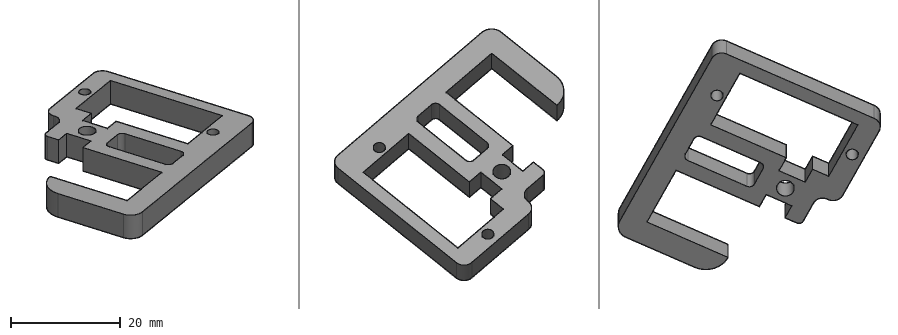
import cadquery as cq

width = 34.0
height = 42.25
thickness = 5.0

neck_left = 4.05
shoulder_y = 23.4
crossbar_bottom = 16.5
hook_left = 12.95
hook_top = 4.55
spine_left = 29.5
corner_radius = 2.0
bottom_corner_radius = 2.5
shoulder_blend_radius = 1.8
neck_corner_radius = 0.9

window_right = 28.05
window_bottom = 27.8
window_top = 39.7
notch_left = 7.35
upper_notch_right = 12.68
lower_notch_right = 12.55
bridge_bottom = 19.3
bridge_top = 24.8

slot_left = 15.45
slot_corner_radius = 1.0

screw_diameter = 2.2
screw_centers = [(2.25, 33.75), (29.75, 33.75)]
pivot_diameter = 3.2
pivot_center = (10.0, (bridge_bottom + bridge_top) / 2)


def block(left, right, bottom, top):
    """Full-thickness rectangular block between the given edges."""
    return cq.Workplane("XY").box(
        right - left, top - bottom, thickness, centered=False
    ).translate((left, bottom, 0))


def round_corner(body, x, y, radius):
    """Round the vertical edge standing at (x, y)."""
    margin = 0.05
    corner = cq.selectors.BoxSelector(
        (x - margin, y - margin, -margin),
        (x + margin, y + margin, thickness + margin),
    )
    return body.edges("|Z").edges(corner).fillet(radius)


def make_outline():
    outline = [
        (0, height),
        (width, height),
        (width, 0),
        (hook_left, 0),
        (hook_left, hook_top),
        (spine_left, hook_top),
        (spine_left, crossbar_bottom),
        (neck_left, crossbar_bottom),
        (neck_left, shoulder_y),
        (0, shoulder_y),
    ]
    body = cq.Workplane("XY").polyline(outline).close().extrude(thickness)
    for x, y, radius in [
        (0, height, corner_radius),
        (width, height, corner_radius),
        (0, shoulder_y, corner_radius),
        (neck_left, shoulder_y, shoulder_blend_radius),
        (neck_left, crossbar_bottom, neck_corner_radius),
        (width, 0, bottom_corner_radius),
    ]:
        body = round_corner(body, x, y, radius)
    tip_corner = block(hook_left, hook_left + hook_top, 0, hook_top)
    tip_disc = (
        cq.Workplane("XY")
        .center(hook_left + hook_top, hook_top)
        .circle(hook_top)
        .extrude(thickness)
    )
    return body.cut(tip_corner.cut(tip_disc))


def cut_holes(body, centers, diameter):
    holes = cq.Workplane("XY").pushPoints(centers).circle(diameter / 2).extrude(thickness)
    return body.cut(holes)


result = make_outline()

result = result.cut(block(neck_left, window_right, window_bottom, window_top))
result = result.cut(block(notch_left, upper_notch_right, bridge_top, window_bottom))
result = result.cut(block(notch_left, lower_notch_right, crossbar_bottom, bridge_bottom))

slot = block(slot_left, spine_left, bridge_bottom, bridge_top)
result = result.cut(slot.edges("|Z").fillet(slot_corner_radius))

result = cut_holes(result, screw_centers, screw_diameter)
result = cut_holes(result, [pivot_center], pivot_diameter)